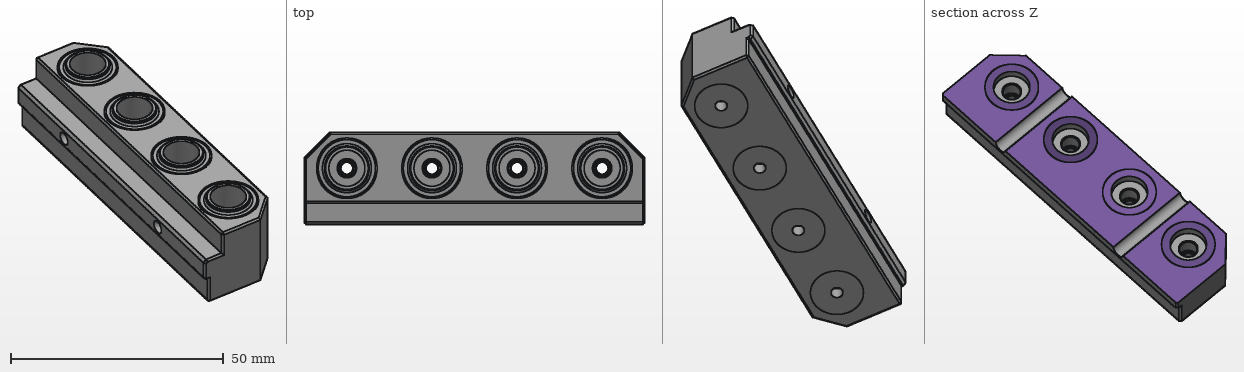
import cadquery as cq

LENGTH = 80.0
HOUSING_HEIGHT = 19.0
DEPTH = 21.8
UPPER_WALL = 16.7
LOWER_WALL = 20.6
LIP_BOTTOM = 7.0
LIP_TOP = 13.0
CORNER_CUT = 6.0
EDGE_CHAMFER = 0.5
LIP_CHAMFER = 0.7

CROSS_HOLE_DIAMETER = 3.2
CROSS_HOLE_HEIGHT = 10.0

BUSHING_COUNT = 4
PITCH = LENGTH / BUSHING_COUNT
BUSHING_TO_BACK = 8.5
TOTAL_HEIGHT = 20.0
BODY_DIAMETER = 12.5
FLANGE_DIAMETER = 14.2
FLANGE_THICKNESS = 2.0
FLANGE_CHAMFER = 0.4
RIM_BASE_DIAMETER = 11.5
RIM_DIAMETER = 10.5
RIM_CHAMFER = 0.2
RIM_CONE_TOP = 19.5
BORE_DIAMETER = 8.5
BORE_DEPTH = 12.0
PILOT_DIAMETER = 4.1
PILOT_DEPTH = 4.0
PILOT_CHAMFER = 0.2
OUTLET_DIAMETER = 2.8
OUTLET_CHAMFER = 0.2

BACK_Y = DEPTH / 2
FRONT_Y = BACK_Y - DEPTH
BUSHING_Y = BACK_Y - BUSHING_TO_BACK
BUSHING_X = [(i - (BUSHING_COUNT - 1) / 2) * PITCH for i in range(BUSHING_COUNT)]
CROSS_HOLE_X = [-PITCH, PITCH]
FLANGE_BOTTOM = HOUSING_HEIGHT - FLANGE_THICKNESS


def cylinder(diameter, bottom, top):
    """Upright cylinder on the Z axis."""
    return cq.Workplane("XY", origin=(0, 0, bottom)).circle(diameter / 2).extrude(top - bottom)


def make_housing_blank():
    """Stepped bar with its two back corners cut off and its outer edges chamfered."""
    upper_y = BACK_Y - UPPER_WALL
    lower_y = BACK_Y - LOWER_WALL
    profile = [
        (BACK_Y, 0),
        (BACK_Y, HOUSING_HEIGHT),
        (upper_y, HOUSING_HEIGHT),
        (upper_y, LIP_TOP),
        (FRONT_Y, LIP_TOP),
        (FRONT_Y, LIP_BOTTOM),
        (lower_y, LIP_BOTTOM),
        (lower_y, 0),
    ]
    bar = cq.Workplane("YZ", origin=(-LENGTH / 2, 0, 0)).polyline(profile).close().extrude(LENGTH)
    bar = bar.edges("|X and <Y").chamfer(LIP_CHAMFER)
    bar = bar.edges("|Z and >Y").chamfer(CORNER_CUT)
    end_edges = bar.faces("<X or >X").edges("not >Y").vals()
    top_and_bottom_edges = bar.faces("<Z or >Z").edges("not |Y").vals()
    return bar.newObject(end_edges + top_and_bottom_edges).chamfer(EDGE_CHAMFER)


def make_bushing_seat():
    """Stepped through hole that takes one bushing."""
    seat = cylinder(BODY_DIAMETER, 0, HOUSING_HEIGHT)
    return seat.union(cylinder(FLANGE_DIAMETER, FLANGE_BOTTOM, HOUSING_HEIGHT))


def make_housing():
    """Bar with a seat for each bushing and the cross holes between them."""
    housing = make_housing_blank()
    for x in BUSHING_X:
        housing = housing.cut(make_bushing_seat().translate((x, BUSHING_Y, 0)))
    cross_holes = (
        cq.Workplane("XZ", origin=(0, BACK_Y, 0))
        .pushPoints([(x, CROSS_HOLE_HEIGHT) for x in CROSS_HOLE_X])
        .circle(CROSS_HOLE_DIAMETER / 2)
        .extrude(DEPTH)
    )
    return housing.cut(cross_holes)


def make_bushing(x):
    """Flanged bushing with a conical rim, a wide bore and a narrow outlet, turned about its axis."""
    body_radius = BODY_DIAMETER / 2
    flange_radius = FLANGE_DIAMETER / 2
    rim_radius = RIM_DIAMETER / 2
    bore_radius = BORE_DIAMETER / 2
    pilot_radius = PILOT_DIAMETER / 2
    outlet_radius = OUTLET_DIAMETER / 2
    bore_bottom = TOTAL_HEIGHT - BORE_DEPTH
    pilot_bottom = bore_bottom - PILOT_DEPTH
    half_section = [
        (outlet_radius, 0),
        (body_radius, 0),
        (body_radius, FLANGE_BOTTOM),
        (flange_radius, FLANGE_BOTTOM),
        (flange_radius, HOUSING_HEIGHT - FLANGE_CHAMFER),
        (flange_radius - FLANGE_CHAMFER, HOUSING_HEIGHT),
        (RIM_BASE_DIAMETER / 2, HOUSING_HEIGHT),
        (rim_radius, RIM_CONE_TOP),
        (rim_radius, TOTAL_HEIGHT - RIM_CHAMFER),
        (rim_radius - RIM_CHAMFER, TOTAL_HEIGHT),
        (bore_radius, TOTAL_HEIGHT),
        (bore_radius, bore_bottom),
        (pilot_radius + PILOT_CHAMFER, bore_bottom),
        (pilot_radius, bore_bottom - PILOT_CHAMFER),
        (pilot_radius, pilot_bottom),
        (outlet_radius + OUTLET_CHAMFER, pilot_bottom),
        (outlet_radius, pilot_bottom - OUTLET_CHAMFER),
    ]
    bushing = cq.Workplane("XZ").polyline(half_section).close().revolve(360, (0, 0), (0, 1))
    return bushing.translate((x, BUSHING_Y, 0))


housing = make_housing()
bushings = [make_bushing(x) for x in BUSHING_X]
result = cq.Compound.makeCompound([housing.val(), *[bushing.val() for bushing in bushings]])